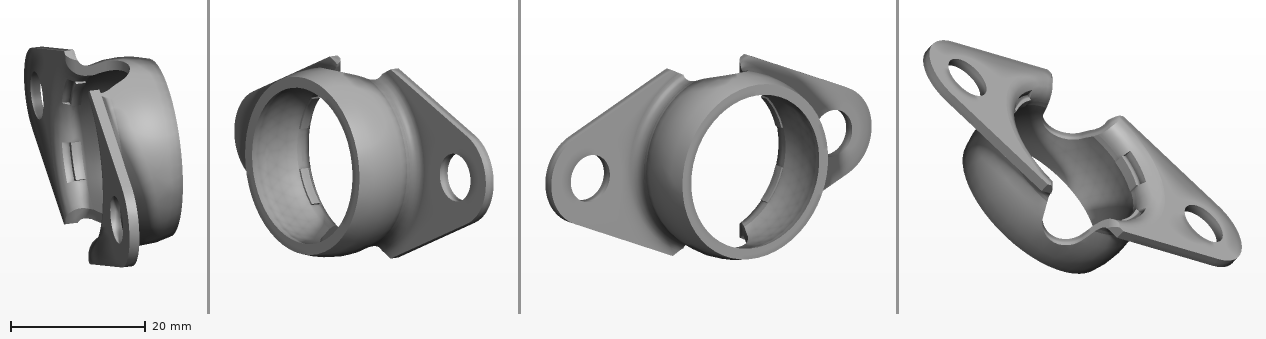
import cadquery as cq
import math

length = 58.7
height = 28.6
depth = 12.7
sheet = 1.5

bolt_hole_radius = 3.6
bolt_offset = 22.2
end_radius = length / 2 - bolt_offset
corner_x = 7.1

ball_radius = 14.15
ball_inner_radius = ball_radius - sheet
ball_center_y = 8.0
neck_radius = 13.45
neck_inner_radius = neck_radius - sheet
flare_back_radius = 1.45
flare_front_radius = flare_back_radius + sheet
flare_end_y = flare_front_radius
flare_mouth_radius = neck_inner_radius + flare_front_radius

notch_top_y = 8.05
notch_round = 3.95
notch_side_angle = math.radians(22)
mouth_round = 2.95
mouth_round_y = 1.3

corner_inner_x = 5.3
corner_inner_z = 13.4

stop_inner_radius = 11.6
stop_outer_radius = 12.6
stop_front_y = 2.25
stop_back_y = stop_front_y + sheet
stop_start_angle = 15
stop_span = 28


def front_plane():
    """Workplane of the flange front face, across the axis; a negative extrusion runs toward +Y."""
    return cq.Workplane("XZ")


def make_plate():
    run = bolt_offset - corner_x
    corner_z = height / 2
    edge_angle = math.atan2(corner_z, run) - math.asin(end_radius / math.hypot(run, corner_z))
    tangent_x = bolt_offset + end_radius * math.sin(edge_angle)
    tangent_z = end_radius * math.cos(edge_angle)
    outline = (
        front_plane()
        .moveTo(-corner_x, corner_z)
        .lineTo(corner_x, corner_z)
        .lineTo(tangent_x, tangent_z)
        .threePointArc((length / 2, 0), (tangent_x, -tangent_z))
        .lineTo(corner_x, -corner_z)
        .lineTo(-corner_x, -corner_z)
        .lineTo(-tangent_x, -tangent_z)
        .threePointArc((-length / 2, 0), (-tangent_x, tangent_z))
        .close()
    )
    plate = outline.extrude(-sheet)
    bolt_holes = front_plane().pushPoints([(-bolt_offset, 0), (bolt_offset, 0)]).circle(bolt_hole_radius)
    mouth = front_plane().circle(flare_mouth_radius)
    return plate.cut(bolt_holes.extrude(-sheet)).cut(mouth.extrude(-sheet))


def make_socket():
    def ball_y(radius, at_radius):
        return ball_center_y - math.sqrt(radius**2 - at_radius**2)

    def rim_radius(radius):
        return math.sqrt(radius**2 - (depth - ball_center_y) ** 2)

    diagonal = math.sqrt(0.5)
    profile = (
        cq.Workplane("XY")
        .moveTo(flare_mouth_radius, 0)
        .threePointArc(
            (flare_mouth_radius - flare_front_radius * diagonal, flare_end_y - flare_front_radius * diagonal),
            (neck_inner_radius, flare_end_y),
        )
        .lineTo(neck_inner_radius, ball_y(ball_inner_radius, neck_inner_radius))
        .threePointArc((ball_inner_radius, ball_center_y), (rim_radius(ball_inner_radius), depth))
        .lineTo(rim_radius(ball_radius), depth)
        .threePointArc((ball_radius, ball_center_y), (neck_radius, ball_y(ball_radius, neck_radius)))
        .lineTo(neck_radius, flare_end_y)
        .threePointArc(
            (flare_mouth_radius - flare_back_radius * diagonal, flare_end_y - flare_back_radius * diagonal),
            (flare_mouth_radius, sheet),
        )
        .close()
    )
    return profile.revolve(360, (0, 0, 0), (0, 1, 0))


def make_notch():
    center_y = notch_top_y - notch_round
    tangent_x = notch_round * math.cos(notch_side_angle)
    tangent_y = center_y + notch_round * math.sin(notch_side_angle)
    round_start_x = tangent_x + (tangent_y - mouth_round_y) * math.tan(notch_side_angle)

    end_angle = math.asin(math.sin(notch_side_angle) + mouth_round_y / mouth_round)
    middle_angle = (notch_side_angle + end_angle) / 2

    def round_point(angle):
        x = round_start_x + mouth_round * (math.cos(notch_side_angle) - math.cos(angle))
        y = mouth_round_y - mouth_round * (math.sin(angle) - math.sin(notch_side_angle))
        return x, y

    middle_x, middle_y = round_point(middle_angle)
    mouth_x, mouth_y = round_point(end_angle)
    return (
        cq.Workplane("XY")
        .moveTo(-mouth_x, mouth_y)
        .threePointArc((-middle_x, middle_y), (-round_start_x, mouth_round_y))
        .lineTo(-tangent_x, tangent_y)
        .threePointArc((0, notch_top_y), (tangent_x, tangent_y))
        .lineTo(round_start_x, mouth_round_y)
        .threePointArc((middle_x, middle_y), (mouth_x, mouth_y))
        .close()
        .extrude(height, both=True)
    )


def make_corner_cut():
    """Material removed above the sloping corners, at the top of the part."""
    return (
        front_plane()
        .moveTo(-corner_x, height / 2)
        .lineTo(-corner_inner_x, corner_inner_z)
        .lineTo(corner_inner_x, corner_inner_z)
        .lineTo(corner_x, height / 2)
        .close()
        .extrude(-flare_end_y)
    )


def stop_sector(inner_radius, outer_radius, start_y, end_y, start_angle):
    return (
        cq.Workplane("XY")
        .moveTo(inner_radius, start_y)
        .lineTo(outer_radius, start_y)
        .lineTo(outer_radius, end_y)
        .lineTo(inner_radius, end_y)
        .close()
        .revolve(stop_span, (0, 0, 0), (0, 1, 0))
        .rotate((0, 0, 0), (0, 1, 0), start_angle)
    )


result = make_plate().union(make_socket()).cut(make_notch())

corner_cut = make_corner_cut()
result = result.cut(corner_cut).cut(corner_cut.mirror("XY"))

for side in (0, 180):
    for start in (stop_start_angle, -stop_start_angle - stop_span):
        pocket = stop_sector(stop_inner_radius, stop_outer_radius, 0, stop_front_y, side + start)
        stop = stop_sector(stop_inner_radius, stop_outer_radius, stop_front_y, stop_back_y, side + start)
        result = result.cut(pocket).union(stop)